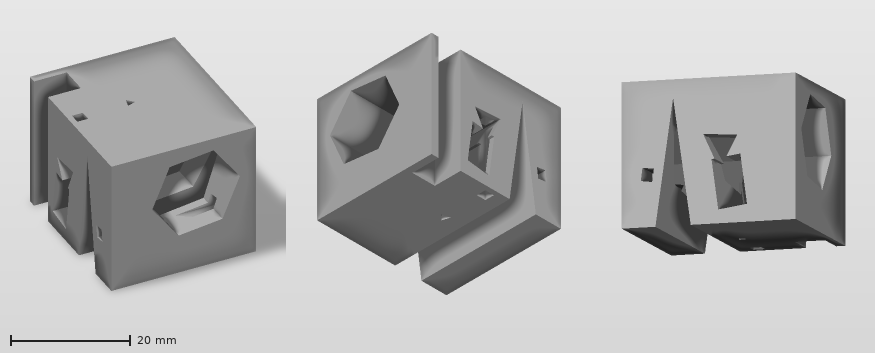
import cadquery as cq

LENGTH = 30.68
WIDTH = 27.18
HEIGHT = 24.97

SLOT_WALL = 1.6
SLOT_LENGTH = 5.3
SLOT_DEPTH = 6.15

NOTCH_CENTER_X = 21.63
NOTCH_BASE = 6.23
NOTCH_HEIGHT = 21.87

HEX_CENTER = (15.9, 15.03)
HEX_DIAMETER = 16.57
HEX_TILT = 6.7

WINDOW_CENTER = (11.72, 7.03)
WINDOW_WIDTH = 5.12
WINDOW_HEIGHT = 8.7
WINDOW_TILT = -7.8
HEAD_CORNERS = [(10.35, 14.95), (16.32, 15.37), (13.4, 9.08)]

SIDE_HOLE_CENTER = (26.17, 8.93)
SIDE_HOLE_WIDTH = 2.02
SIDE_HOLE_HEIGHT = 2.27
SIDE_HOLE_TILT = 7.8

SQUARE_HOLE_CENTER = (14.82, 2.05)
SQUARE_HOLE_SIDE = 2.02
TRIANGLE_HOLE_CORNERS = [(13.53, 11.25), (14.75, 12.43), (15.28, 10.83)]


def prism_along_y(corners):
    """Front-to-back prism over a polygon given as (x, z) corners."""
    return cq.Workplane("XZ").polyline(corners).close().extrude(-WIDTH)


def tilted_box_along_y(center, width, height, tilt):
    """Front-to-back rectangular prism turned about its own axis."""
    return (
        cq.Workplane("XZ")
        .center(*center)
        .transformed(rotate=(0, 0, tilt))
        .rect(width, height)
        .extrude(-WIDTH)
    )


block = cq.Workplane("XY").box(LENGTH, WIDTH, HEIGHT, centered=False)

slot = (
    cq.Workplane("XY")
    .box(SLOT_LENGTH, SLOT_DEPTH, HEIGHT, centered=False)
    .translate((SLOT_WALL, 0, 0))
)

notch = prism_along_y([
    (NOTCH_CENTER_X - NOTCH_BASE / 2, 0),
    (NOTCH_CENTER_X + NOTCH_BASE / 2, 0),
    (NOTCH_CENTER_X, NOTCH_HEIGHT),
])

hex_hole = (
    cq.Workplane("YZ")
    .center(*HEX_CENTER)
    .transformed(rotate=(0, 0, HEX_TILT))
    .polygon(6, HEX_DIAMETER)
    .extrude(LENGTH)
)

window = tilted_box_along_y(WINDOW_CENTER, WINDOW_WIDTH, WINDOW_HEIGHT, WINDOW_TILT)
window_head = prism_along_y(HEAD_CORNERS)

side_hole = tilted_box_along_y(
    SIDE_HOLE_CENTER, SIDE_HOLE_WIDTH, SIDE_HOLE_HEIGHT, SIDE_HOLE_TILT
)

square_hole = (
    cq.Workplane("XY")
    .center(*SQUARE_HOLE_CENTER)
    .rect(SQUARE_HOLE_SIDE, SQUARE_HOLE_SIDE)
    .extrude(HEIGHT)
)
triangle_hole = cq.Workplane("XY").polyline(TRIANGLE_HOLE_CORNERS).close().extrude(HEIGHT)

result = block
for cutter in (
    slot, notch, hex_hole, window, window_head, side_hole, square_hole, triangle_hole
):
    result = result.cut(cutter)